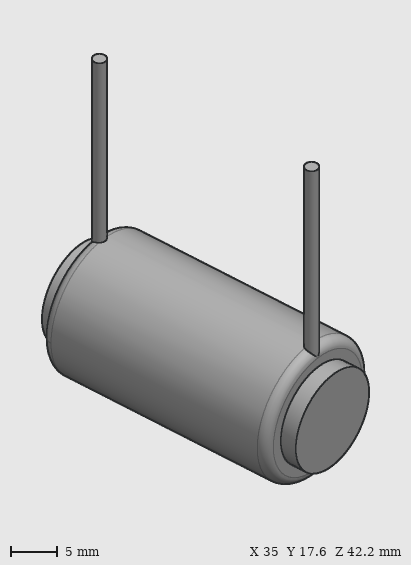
import cadquery as cq

total_height = 42.15
body_diameter = 17.55
body_length = 30.9
body_edge_radius = 1.22
core_diameter = 12.5
core_length = 35.05
lead_diameter = 1.65

body_radius = body_diameter / 2
lead_offset = (body_length - lead_diameter) / 2
lead_bottom = body_radius - body_edge_radius
lead_top = total_height - body_radius


def x_cylinder(diameter, length):
    """Cylinder around the X axis, centred on the origin, with its seam on the -Y side."""
    half_section = (
        cq.Workplane("XY")
        .moveTo(-length / 2, -diameter / 2)
        .rect(length, diameter / 2, centered=False)
    )
    return half_section.revolve(360, (0, 0, 0), (1, 0, 0))


body = x_cylinder(body_diameter, body_length).edges("%CIRCLE").fillet(body_edge_radius)

core = x_cylinder(core_diameter, core_length)

leads = (
    cq.Workplane("XY", origin=(0, 0, lead_bottom))
    .pushPoints([(-lead_offset, 0), (lead_offset, 0)])
    .circle(lead_diameter / 2)
    .extrude(lead_top - lead_bottom)
)

result = body.union(core).union(leads)